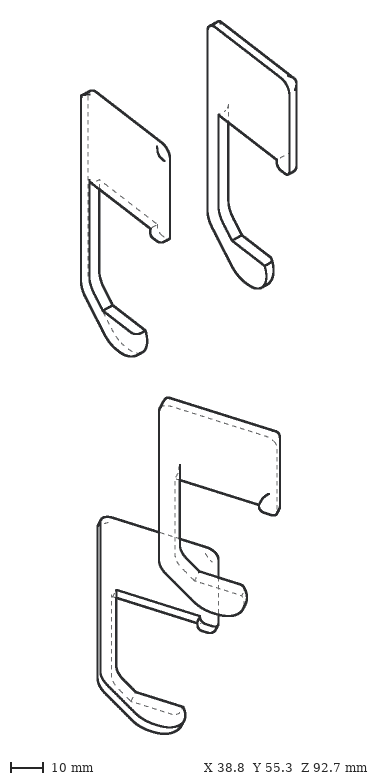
import cadquery as cq
import math

height = 92.7
width = 38.8
overall_depth = 55.25
plate_thickness = 4.0
edge_fillet = 2.0
top_corner_radius = 4.0

panel_height = 34.0
prong_width = 6.0
prong_bottom = 37.0

stem_width = 5.3
outer_bend_depth = 78.7
outer_bend_radius = 8.0
inner_bend_depth = 73.6
inner_bend_radius = outer_bend_radius
hook_top = 80.0
hook_tip_radius = 9.0
hook_tip_x = 19.0
hook_heel_radius = hook_tip_radius

DIAGONAL = math.sqrt(0.5)
BEND_TANGENT = math.tan(math.radians(22.5))
MID_BEND_SIN = math.sin(math.radians(22.5))
MID_BEND_COS = math.cos(math.radians(22.5))

tip_centre_z = hook_tip_radius - height
tip_rise = -hook_top - tip_centre_z
tip_end_x = hook_tip_x + math.sqrt(hook_tip_radius**2 - tip_rise**2)


def bend_from_vertical(outline, x, depth, radius):
    """Go down to a 45 degree bend and round it towards +X."""
    start_z = BEND_TANGENT * radius - depth
    middle = (x + radius * (1 - MID_BEND_COS), start_z - radius * MID_BEND_SIN)
    end = (x + radius * (1 - DIAGONAL), start_z - radius * DIAGONAL)
    return outline.lineTo(x, start_z).threePointArc(middle, end)


def round_heel(outline):
    """Go down the diagonal and round it into the flat bottom of the hook."""
    end_x = height - outer_bend_depth + BEND_TANGENT * hook_heel_radius
    centre_z = hook_heel_radius - height
    start = (end_x - hook_heel_radius * DIAGONAL, centre_z - hook_heel_radius * DIAGONAL)
    middle = (end_x - hook_heel_radius * MID_BEND_SIN, centre_z - hook_heel_radius * MID_BEND_COS)
    return outline.lineTo(*start).threePointArc(middle, (end_x, -height))


def round_tip(outline):
    """Go along the bottom and round the hook tip up to the flat hook top."""
    side = (hook_tip_x + hook_tip_radius * DIAGONAL, tip_centre_z - hook_tip_radius * DIAGONAL)
    return outline.lineTo(hook_tip_x, -height).threePointArc(side, (tip_end_x, -hook_top))


def main_blank():
    """Panel, stem and hook, with square panel corners; the outer face lies at Y = 0."""
    outline = cq.Workplane("XZ").moveTo(0, 0)
    outline = bend_from_vertical(outline, 0, outer_bend_depth, outer_bend_radius)
    outline = round_tip(round_heel(outline))
    inner_end_x = stem_width + hook_top - inner_bend_depth
    outline = outline.lineTo(inner_end_x, -hook_top)
    outline = outline.lineTo(stem_width, -inner_bend_depth).lineTo(stem_width, -panel_height)
    prong_x = width - prong_width
    outline = outline.lineTo(prong_x, -panel_height).lineTo(prong_x, -prong_bottom)
    outline = outline.lineTo(width, -prong_bottom).lineTo(width, 0).close()
    blank = outline.extrude(-plate_thickness)
    inner_bend = cq.selectors.NearestToPointSelector((stem_width, plate_thickness / 2, -inner_bend_depth))
    return blank.edges("|Y").edges(inner_bend).fillet(inner_bend_radius)


def round_outer_corners(blank):
    """Pre-round the panel and prong corners with the same radius as the face edge."""
    corners = [
        (0, 0),
        (width, 0),
        (width, -prong_bottom),
        (width - prong_width, -prong_bottom),
    ]
    for x, z in corners:
        corner = cq.selectors.NearestToPointSelector((x, plate_thickness / 2, z))
        blank = blank.edges("|Y").edges(corner).fillet(edge_fillet)
    return blank


def is_plain_edge(edge):
    """True for the edges inside the stem and on the hook top, which stay sharp."""
    centre = edge.Center()
    inside_x = stem_width - edge_fillet < centre.x < tip_end_x - edge_fillet
    return inside_x and -hook_top - edge_fillet < centre.z < -panel_height - edge_fillet


def front_plate():
    blank = round_outer_corners(main_blank())
    face_edges = blank.faces("<Y").edges().vals()
    rounded_edges = [edge for edge in face_edges if not is_plain_edge(edge)]
    plate = blank.newObject(rounded_edges).fillet(edge_fillet)
    envelope = (
        cq.Workplane("XY")
        .box(width, plate_thickness, height, centered=False)
        .translate((0, 0, -height))
        .edges("|Y and >Z")
        .fillet(top_corner_radius)
    )
    return plate.intersect(envelope).translate((0, -overall_depth / 2, 0))


front_hook = front_plate()
back_hook = front_hook.mirror("XZ")
result = cq.Compound.makeCompound([front_hook.val(), back_hook.val()])